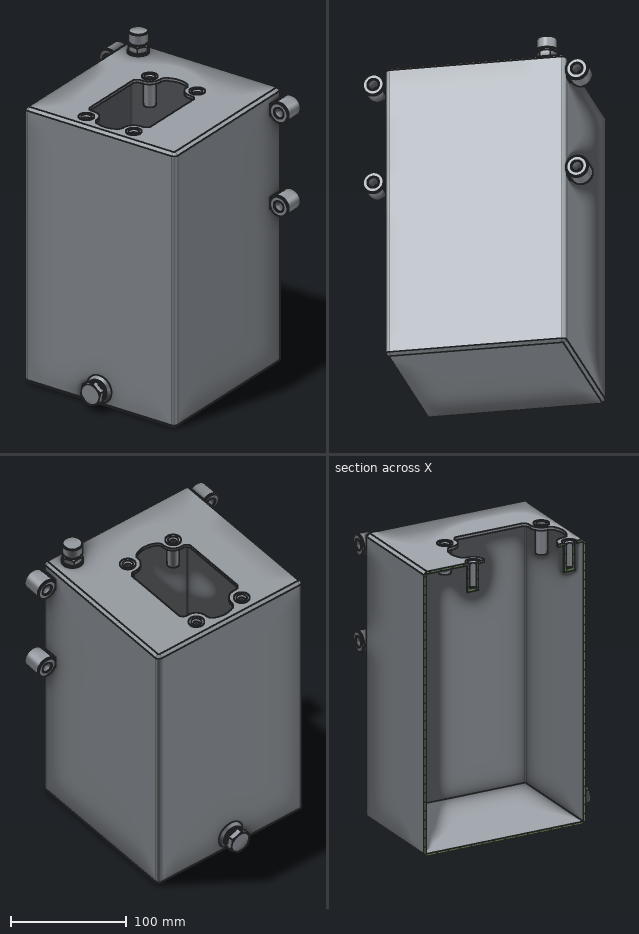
import cadquery as cq
import math

TANK_SIDE = 160.0
TANK_HEIGHT = 265.0
WALL = 2.9
CAVITY_CORNER_RADIUS = 1.0
UPRIGHT_EDGE_RADIUS = WALL + CAVITY_CORNER_RADIUS
RIM_CHAMFER = 2.9
HALF_SIDE = TANK_SIDE / 2

OPENING_Y = -16.3
OPENING_WIDTH = 64.0
OPENING_LENGTH = 111.5
OPENING_CORNER_RADIUS = 4.9
NOTCH_RADIUS = 11.0
LOBE_CROWN_RADIUS = 22.0
POST_SPACING_X = 50.0
POST_SPACING_Y = 95.0
POST_DIAMETER = 10.9
POST_DEPTH = 27.7
RECESS_DIAMETER = 13.7
RECESS_DEPTH = 0.5
THREAD_DIAMETER = 5.7
THREAD_MOUTH_DIAMETER = 9.0
THREAD_DEPTH = 24.3

TUBE_DIAMETER = 20.0
TUBE_LENGTH = 20.0
TUBE_BORE = 9.0
TUBE_CHAMFER = 1.0
BORE_CHAMFER = 0.7
TUBE_BACK_OVERHANG = 1.0
TUBE_TOP_DROP = 15.0
TUBE_SPACING_Z = 90.0
WELD_HEIGHT = 11.5
WELD_WIDTH = 3.5

DRAIN_Z = 16.0
DRAIN_COLLAR_BASE = 26.0
DRAIN_COLLAR_LENGTH = 3.0
DRAIN_RING_DIAMETER = 20.0
DRAIN_RING_LENGTH = 2.0
DRAIN_RING_CHAMFER = 0.5
DRAIN_NECK_DIAMETER = 18.0
DRAIN_NECK_LENGTH = 1.85
DRAIN_HEX_FLATS = 19.0
DRAIN_HEX_LENGTH = 6.5
DRAIN_HEX_ANGLE = 20.0

BREATHER_X = -60.0
BREATHER_Y = 64.0
BREATHER_BASE_DIAMETER = 19.0
BREATHER_BASE_HEIGHT = 2.0
BREATHER_BASE_CHAMFER = 1.0
BREATHER_HEX_FLATS = 16.5
BREATHER_HEX_TOP_DIAMETER = 15.0
BREATHER_HEX_HEIGHT = 6.3
BREATHER_NECK_DIAMETER = 13.5
BREATHER_NECK_HEIGHT = 2.0
BREATHER_CAP_DIAMETER = 18.0
BREATHER_CAP_HEIGHT = 10.3
BREATHER_CAP_CHAMFER = 0.7

HEX_CHAMFER_ANGLE = 30.0
HEX_CHAMFER_SLOPE = math.tan(math.radians(HEX_CHAMFER_ANGLE))


def hex_prism(flats, height, angle):
    """Upright hexagon on Z = 0, turned about Z from having corners on the X axis."""
    corners = flats / math.cos(math.pi / 6)
    return cq.Workplane("XY").polygon(6, corners).extrude(height).rotate((0, 0, 0), (0, 0, 1), angle)


def chamfered_hex(flats, height, angle, top_diameter):
    """Hexagon whose top corners are cut by a cone that narrows to top_diameter."""
    top_radius = top_diameter / 2
    corner_radius = flats / 2 / math.cos(math.pi / 6)
    shoulder = height - (corner_radius - top_radius) * HEX_CHAMFER_SLOPE
    profile = [(0, 0), (corner_radius, 0), (corner_radius, shoulder), (top_radius, height), (0, height)]
    envelope = cq.Workplane("XZ").polyline(profile).close().revolve(360, (0, 0, 0), (0, 1, 0))
    return hex_prism(flats, height, angle).intersect(envelope)


def cone(bottom_diameter, top_diameter, bottom, height):
    profile = [(0, 0), (bottom_diameter / 2, 0), (top_diameter / 2, height), (0, height)]
    solid = cq.Workplane("XZ").polyline(profile).close().revolve(360, (0, 0, 0), (0, 1, 0))
    return solid.translate((0, 0, bottom))


def disc(diameter, bottom, height):
    return cq.Workplane("XY").workplane(offset=bottom).circle(diameter / 2).extrude(height)


def tank_block():
    block = cq.Workplane("XY").box(TANK_SIDE, TANK_SIDE, TANK_HEIGHT, centered=(True, True, False))
    return block.edges("|Z").fillet(UPRIGHT_EDGE_RADIUS).faces("<Z or >Z").chamfer(RIM_CHAMFER)


def cavity():
    width = TANK_SIDE - 2 * WALL
    return (
        cq.Workplane("XY")
        .box(width, width, TANK_HEIGHT - 2 * WALL, centered=(True, True, False))
        .edges("|Z")
        .fillet(CAVITY_CORNER_RADIUS)
        .translate((0, 0, WALL))
    )


def opening():
    """Rectangle notched around the four posts, with a rounded lobe at each end."""
    side_x = OPENING_WIDTH / 2
    end_y = OPENING_LENGTH / 2
    post_x = POST_SPACING_X / 2
    post_y = POST_SPACING_Y / 2
    shoulder_y = post_y - NOTCH_RADIUS
    lobe_x = post_x - NOTCH_RADIUS

    crown_center_y = end_y - LOBE_CROWN_RADIUS
    rise = post_y - crown_center_y
    corner_radius = (LOBE_CROWN_RADIUS**2 - lobe_x**2 - rise**2) / (2 * (LOBE_CROWN_RADIUS - lobe_x))
    crown_scale = LOBE_CROWN_RADIUS / (LOBE_CROWN_RADIUS - corner_radius)
    crown_x = (lobe_x - corner_radius) * crown_scale
    crown_y = crown_center_y + rise * crown_scale

    half_outline = (
        cq.Workplane("XY")
        .moveTo(side_x, 0)
        .lineTo(side_x, shoulder_y - OPENING_CORNER_RADIUS)
        .radiusArc((side_x - OPENING_CORNER_RADIUS, shoulder_y), -OPENING_CORNER_RADIUS)
        .lineTo(post_x, shoulder_y)
        .radiusArc((lobe_x, post_y), NOTCH_RADIUS)
        .radiusArc((crown_x, crown_y), -corner_radius)
        .threePointArc((0, end_y), (-crown_x, crown_y))
        .radiusArc((-lobe_x, post_y), -corner_radius)
        .radiusArc((-post_x, shoulder_y), NOTCH_RADIUS)
        .lineTo(-side_x + OPENING_CORNER_RADIUS, shoulder_y)
        .radiusArc((-side_x, shoulder_y - OPENING_CORNER_RADIUS), -OPENING_CORNER_RADIUS)
        .lineTo(-side_x, 0)
    )
    plate_underside = TANK_HEIGHT - WALL
    return half_outline.mirrorX().extrude(WALL).translate((0, OPENING_Y, plate_underside))


def at_posts(shape):
    """Four copies of a shape made on the Z axis, one on each post axis."""
    post_axes = cq.Workplane("XY").center(0, OPENING_Y).rarray(POST_SPACING_X, POST_SPACING_Y, 2, 2)
    return post_axes.eachpoint(lambda location: shape.val().moved(location), combine=False)


def post():
    return disc(POST_DIAMETER, TANK_HEIGHT - POST_DEPTH, POST_DEPTH - WALL / 2)


def post_hole():
    """Threaded hole with a countersunk mouth below a shallow recess."""
    recess_floor = TANK_HEIGHT - RECESS_DEPTH
    mouth_depth = (THREAD_MOUTH_DIAMETER - THREAD_DIAMETER) / 2
    thread = disc(THREAD_DIAMETER, TANK_HEIGHT - THREAD_DEPTH, THREAD_DEPTH)
    recess = disc(RECESS_DIAMETER, recess_floor, RECESS_DEPTH)
    countersink = cone(THREAD_DIAMETER, THREAD_MOUTH_DIAMETER, recess_floor - mouth_depth, mouth_depth)
    return thread.union(countersink).union(recess)


def mounting_tube(side, axis_z):
    """Tube along Y lying against a side wall, with the block of weld that joins them."""
    back = HALF_SIDE + TUBE_BACK_OVERHANG
    front = back - TUBE_LENGTH
    axis_x = side * (HALF_SIDE + TUBE_DIAMETER / 2)
    weld_front = front + TUBE_CHAMFER
    weld_back = HALF_SIDE - UPRIGHT_EDGE_RADIUS
    weld = (
        cq.Workplane("XY")
        .box(WELD_WIDTH, weld_back - weld_front, WELD_HEIGHT)
        .translate((side * (HALF_SIDE + WELD_WIDTH / 2), (weld_front + weld_back) / 2, axis_z))
    )
    mouth_diameter = TUBE_BORE + 2 * BORE_CHAMFER
    bore = (
        disc(TUBE_BORE, 0, TUBE_LENGTH)
        .union(cone(mouth_diameter, TUBE_BORE, 0, BORE_CHAMFER))
        .union(cone(TUBE_BORE, mouth_diameter, TUBE_LENGTH - BORE_CHAMFER, BORE_CHAMFER))
    )
    tube = disc(TUBE_DIAMETER, 0, TUBE_LENGTH).faces("|Z").chamfer(TUBE_CHAMFER).cut(bore)
    tube = tube.rotate((0, 0, 0), (1, 0, 0), 90).translate((axis_x, back, axis_z))
    return tube.union(weld)


def drain_fitting():
    """Weld collar, sealing ring, neck and hexagon head, stacked forwards from the front wall."""
    ring_start = DRAIN_COLLAR_LENGTH
    neck_start = ring_start + DRAIN_RING_LENGTH
    head_start = neck_start + DRAIN_NECK_LENGTH
    base_radius = DRAIN_COLLAR_BASE / 2
    ring_radius = DRAIN_RING_DIAMETER / 2
    neck_radius = DRAIN_NECK_DIAMETER / 2
    profile = [
        (0, -WALL / 2),
        (base_radius, -WALL / 2),
        (base_radius, 0),
        (ring_radius, ring_start),
        (ring_radius, neck_start - DRAIN_RING_CHAMFER),
        (ring_radius - DRAIN_RING_CHAMFER, neck_start),
        (neck_radius, neck_start),
        (neck_radius, head_start),
        (0, head_start),
    ]
    stem = cq.Workplane("XZ").polyline(profile).close().revolve(360, (0, 0, 0), (0, 1, 0))
    head = chamfered_hex(DRAIN_HEX_FLATS, DRAIN_HEX_LENGTH, DRAIN_HEX_ANGLE, DRAIN_HEX_FLATS)
    fitting = stem.union(head.translate((0, 0, head_start)))
    return fitting.rotate((0, 0, 0), (1, 0, 0), 90).translate((0, -HALF_SIDE, DRAIN_Z))


def make_tank():
    tank = tank_block().cut(cavity()).cut(opening())
    tank = tank.union(at_posts(post())).cut(at_posts(post_hole()))
    for side in (-1, 1):
        for row in range(2):
            tank = tank.union(mounting_tube(side, TANK_HEIGHT - TUBE_TOP_DROP - row * TUBE_SPACING_Z))
    return tank.union(drain_fitting())


def make_breather():
    """Base ring, hexagon, neck and cap, stacked upwards from the top plate."""
    hex_bottom = BREATHER_BASE_HEIGHT
    neck_bottom = hex_bottom + BREATHER_HEX_HEIGHT
    cap_bottom = neck_bottom + BREATHER_NECK_HEIGHT
    base = disc(BREATHER_BASE_DIAMETER, 0, BREATHER_BASE_HEIGHT).faces(">Z").chamfer(BREATHER_BASE_CHAMFER)
    nut = chamfered_hex(BREATHER_HEX_FLATS, BREATHER_HEX_HEIGHT, 0, BREATHER_HEX_TOP_DIAMETER)
    nut = nut.translate((0, 0, hex_bottom))
    neck = disc(BREATHER_NECK_DIAMETER, neck_bottom, BREATHER_NECK_HEIGHT)
    cap = disc(BREATHER_CAP_DIAMETER, cap_bottom, BREATHER_CAP_HEIGHT)
    cap = cap.faces(">Z").chamfer(BREATHER_CAP_CHAMFER)
    return base.union(nut).union(neck).union(cap).translate((BREATHER_X, BREATHER_Y, TANK_HEIGHT))


tank = make_tank()
breather = make_breather()
result = cq.Compound.makeCompound([tank.solids().val(), breather.solids().val()])